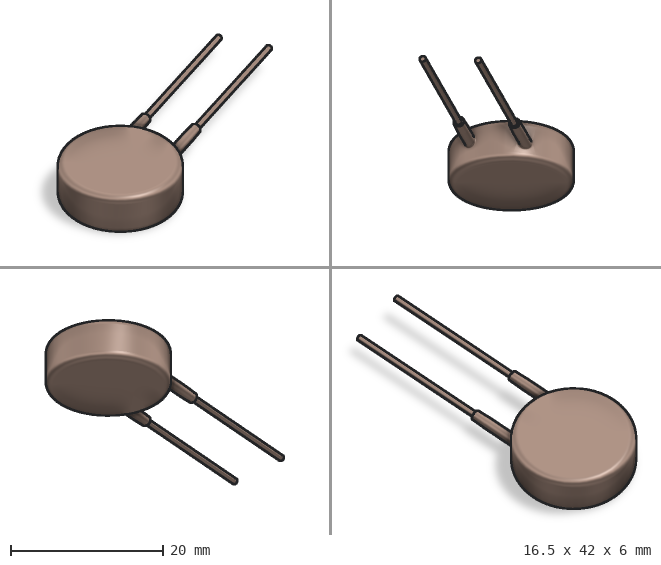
import cadquery as cq

disc_diameter = 16.5
disc_height = 6.0
edge_radius = 1.0

overall_length = 42.0
lead_spacing = 7.5
lead_stagger = 1.05
wire_diameter = 0.85
wire_exposed_length = 20.0
sleeve_diameter = 1.55
sleeve_tip_diameter = 1.43
sleeve_taper_length = 2.1
sleeve_tip_length = 0.13
root_fillet_radius = 0.2

disc_radius = disc_diameter / 2
wire_end = overall_length - disc_radius
sleeve_end = wire_end - wire_exposed_length
taper_end = sleeve_end - sleeve_tip_length
taper_start = taper_end - sleeve_taper_length
lead_start = disc_radius / 2


def make_disc():
    """Round body with both rims rounded."""
    disc = cq.Workplane("XY").circle(disc_radius).extrude(disc_height)
    disc = disc.faces("|Z").edges().fillet(edge_radius)
    return disc.translate((0, 0, -disc_height / 2))


def make_lead(x, z):
    """Straight sleeve with a taper, a short straight tip and a thinner wire, revolved about the lead axis."""
    profile = (
        cq.Workplane("XY")
        .moveTo(0, lead_start)
        .lineTo(sleeve_diameter / 2, lead_start)
        .lineTo(sleeve_diameter / 2, taper_start)
        .lineTo(sleeve_tip_diameter / 2, taper_end)
        .lineTo(sleeve_tip_diameter / 2, sleeve_end)
        .lineTo(wire_diameter / 2, sleeve_end)
        .lineTo(wire_diameter / 2, wire_end)
        .lineTo(0, wire_end)
        .close()
    )
    return profile.revolve(360, (0, 0), (0, 1)).translate((x, 0, z))


def fillet_lead_roots(body):
    """Blend each sleeve into the disc along the curve where they meet."""
    root_box = cq.selectors.BoxSelector(
        (-lead_spacing, lead_start, -sleeve_diameter),
        (lead_spacing, disc_radius, sleeve_diameter),
    )
    return body.edges(root_box).fillet(root_fillet_radius)


body = make_disc()
for side in (-1, 1):
    body = body.union(make_lead(side * lead_spacing / 2, side * lead_stagger / 2))

result = fillet_lead_roots(body)